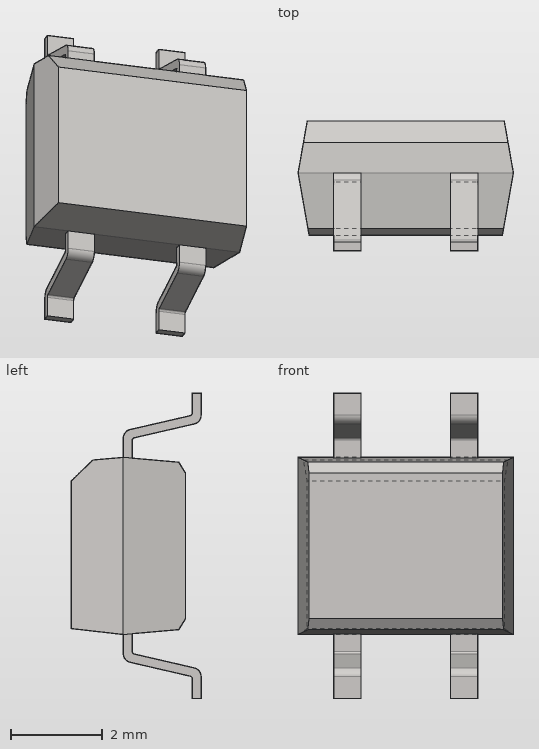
import cadquery as cq
import math

BODY_WIDTH = 4.69
BODY_HEIGHT = 3.86
FRONT_DEPTH = 1.36
BACK_DEPTH = 1.13
SIDE_DRAFT = 10.0
FRONT_END_DRAFT = 5.0
BACK_TOP_DRAFT = 5.0
BACK_BOTTOM_DRAFT = 6.5
FRONT_BEVEL_DEPTH = 0.15
FRONT_BEVEL_HEIGHT = 0.24
BACK_BEVEL_DEPTH = 0.47
BACK_FACE_TOP = 1.415

LEAD_SPAN = 6.65
LEAD_REACH = 1.70
LEAD_WIDTH = 0.6
LEAD_THICKNESS = 0.2
LEAD_PITCH = 2.54
LEAD_ROOT = 1.5
ARM_ANGLE = 13.0
KNEE_HEIGHT = 2.50
OUTER_BEND_RADIUS = 0.2
INNER_BEND_RADIUS = 0.05


def draft_inset(depth, angle):
    """Distance a drafted wall moves inwards over the given depth."""
    return depth * math.tan(math.radians(angle))


def make_body():
    """Cross the plan outline with the side outline to get the drafted body."""
    half_width = BODY_WIDTH / 2
    half_height = BODY_HEIGHT / 2

    front_half_width = half_width - draft_inset(FRONT_DEPTH, SIDE_DRAFT)
    back_half_width = half_width - draft_inset(BACK_DEPTH, SIDE_DRAFT)
    plan = (
        cq.Workplane("XY")
        .polyline([
            (-front_half_width, -FRONT_DEPTH),
            (front_half_width, -FRONT_DEPTH),
            (half_width, 0),
            (back_half_width, BACK_DEPTH),
            (-back_half_width, BACK_DEPTH),
            (-half_width, 0),
        ])
        .close()
        .extrude(half_height, both=True)
    )

    front_bevel_y = FRONT_DEPTH - FRONT_BEVEL_DEPTH
    front_bevel_z = half_height - draft_inset(front_bevel_y, FRONT_END_DRAFT)
    front_face_z = front_bevel_z - FRONT_BEVEL_HEIGHT
    back_bevel_y = BACK_DEPTH - BACK_BEVEL_DEPTH
    back_bevel_z = half_height - draft_inset(back_bevel_y, BACK_TOP_DRAFT)
    back_bottom_z = half_height - draft_inset(BACK_DEPTH, BACK_BOTTOM_DRAFT)
    side = (
        cq.Workplane("YZ")
        .polyline([
            (0, half_height),
            (-front_bevel_y, front_bevel_z),
            (-FRONT_DEPTH, front_face_z),
            (-FRONT_DEPTH, -front_face_z),
            (-front_bevel_y, -front_bevel_z),
            (0, -half_height),
            (BACK_DEPTH, -back_bottom_z),
            (BACK_DEPTH, BACK_FACE_TOP),
            (back_bevel_y, back_bevel_z),
        ])
        .close()
        .extrude(half_width, both=True)
    )
    return plan.intersect(side)


def make_upper_lead(center_x):
    """Bent strip leaving the +Z end of the body: shank, sloping arm and foot."""
    slope = math.tan(math.radians(ARM_ANGLE))
    arm_drop = LEAD_THICKNESS / math.cos(math.radians(ARM_ANGLE))
    foot_inner = LEAD_REACH - LEAD_THICKNESS
    tip = LEAD_SPAN / 2

    knee_outer = (0, KNEE_HEIGHT)
    foot_corner_inner = (-foot_inner, KNEE_HEIGHT + foot_inner * slope)
    foot_corner_outer = (-LEAD_REACH, KNEE_HEIGHT + LEAD_REACH * slope - arm_drop)
    knee_inner = (-LEAD_THICKNESS, KNEE_HEIGHT + LEAD_THICKNESS * slope - arm_drop)

    lead = (
        cq.Workplane("YZ", origin=(center_x, 0, 0))
        .polyline([
            (0, LEAD_ROOT),
            knee_outer,
            foot_corner_inner,
            (-foot_inner, tip),
            (-LEAD_REACH, tip),
            foot_corner_outer,
            knee_inner,
            (-LEAD_THICKNESS, LEAD_ROOT),
        ])
        .close()
        .extrude(LEAD_WIDTH / 2, both=True)
    )

    bends = [
        (knee_outer, OUTER_BEND_RADIUS),
        (foot_corner_outer, OUTER_BEND_RADIUS),
        (knee_inner, INNER_BEND_RADIUS),
        (foot_corner_inner, INNER_BEND_RADIUS),
    ]
    for (y, z), radius in bends:
        corner = cq.selectors.NearestToPointSelector((center_x, y, z))
        lead = lead.edges("|X").edges(corner).fillet(radius)
    return lead


result = make_body()
for lead_x in (-LEAD_PITCH / 2, LEAD_PITCH / 2):
    upper_lead = make_upper_lead(lead_x)
    lower_lead = upper_lead.mirror("XY")
    result = result.union(upper_lead).union(lower_lead)